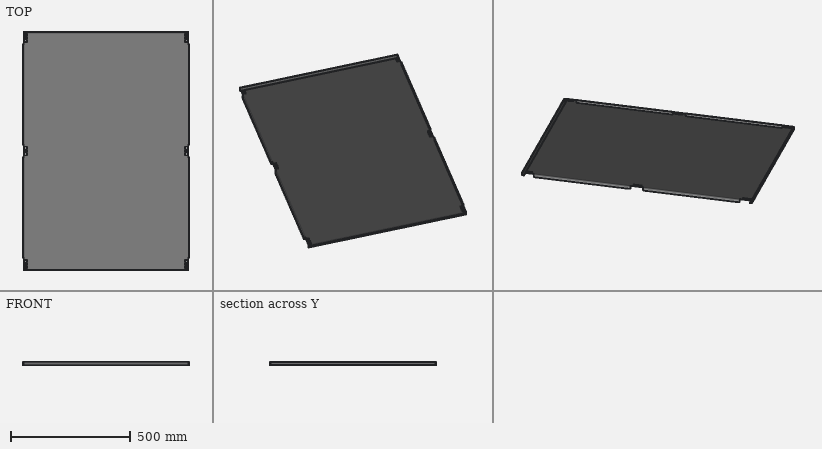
import cadquery as cq
import math

length = 1000.0
width = 699.0
height = 15.0
sheet = 2.0
bend_radius = 4.0

end_notch = 52.0
middle_notch = 54.0
flange_corner = 6.0

lip_length = 9.0

group_end_distance = 25.0
hole_length = 10.0
hole_width = 9.0
hole_spacing = 25.0
hole_inset = 8.0
slit_length = 12.0
slit_width = 3.0

half_length = length / 2
half_width = width / 2
plate_half_width = half_width - bend_radius
plate_half_length = half_length - bend_radius
top_bend_z = height - bend_radius
flange_start = middle_notch / 2
flange_end = half_length - end_notch
flange_length = flange_end - flange_start
flange_y = (flange_start + flange_end) / 2
group_y = half_length - group_end_distance
hole_x = plate_half_width - hole_inset


def sheet_leg(plane, run, across, up):
    """Straight stretch of sheet between two across positions and two heights."""
    return (
        cq.Workplane(plane)
        .moveTo(across[0], up[0])
        .lineTo(across[1], up[0])
        .lineTo(across[1], up[1])
        .lineTo(across[0], up[1])
        .close()
        .extrude(run / 2, both=True)
    )


def sheet_bend(plane, run, center, z_sign):
    """Quarter-ring bend between a horizontal sheet (above for +1, below for -1) and the outer leg."""
    inner_radius = bend_radius - sheet
    across, up = center
    diagonal = math.sqrt(0.5)

    def at(radius, across_part, up_part):
        return (across + radius * across_part, up + radius * up_part * z_sign)

    return (
        cq.Workplane(plane)
        .moveTo(*at(bend_radius, 0, 1))
        .threePointArc(at(bend_radius, diagonal, diagonal), at(bend_radius, 1, 0))
        .lineTo(*at(inner_radius, 1, 0))
        .threePointArc(at(inner_radius, diagonal, diagonal), at(inner_radius, 0, 1))
        .close()
        .extrude(run / 2, both=True)
    )


def top_plate():
    """Flat sheet between the bends, with its top face at the full height."""
    plate_width = 2 * plate_half_width
    across = (-plate_half_length, plate_half_length)
    return sheet_leg("YZ", plate_width, across, (height - sheet, height))


def side_flange():
    """Flange on the +X side, centred on Y = 0, with rounded lower corners."""
    top_bend = sheet_bend("XZ", flange_length, (plate_half_width, top_bend_z), 1)
    leg = sheet_leg("XZ", flange_length, (half_width - sheet, half_width), (0, top_bend_z))
    leg = leg.faces("<Z").edges("|X").fillet(flange_corner)
    return top_bend.union(leg)


def end_flange():
    """Flange on the +Y end, bent down and then back inwards as a lip."""
    run = 2 * plate_half_width
    top_bend = sheet_bend("YZ", run, (plate_half_length, top_bend_z), 1)
    leg = sheet_leg("YZ", run, (half_length - sheet, half_length), (bend_radius, top_bend_z))
    lip_bend = sheet_bend("YZ", run, (plate_half_length, bend_radius), -1)
    lip = sheet_leg("YZ", run, (half_length - lip_length, plate_half_length), (0, sheet))
    return top_bend.union(leg).union(lip_bend).union(lip)


def hole_group(x, y):
    """Cutter through the top sheet for two rectangular holes and the slit between them."""
    sheet_bottom = cq.Workplane("XY", origin=(x, y, height - sheet))
    holes = (
        sheet_bottom
        .pushPoints([(0, -hole_spacing / 2), (0, hole_spacing / 2)])
        .rect(hole_length, hole_width)
        .extrude(sheet)
    )
    slit = sheet_bottom.rect(slit_length, slit_width).extrude(sheet)
    return holes.union(slit)


panel = top_plate()

end = end_flange()
panel = panel.union(end).union(end.mirror("XZ"))

side = side_flange()
for y in (-flange_y, flange_y):
    placed = side.translate((0, y, 0))
    panel = panel.union(placed).union(placed.mirror("YZ"))

for x in (-hole_x, hole_x):
    for y in (-group_y, 0, group_y):
        panel = panel.cut(hole_group(x, y))

result = panel